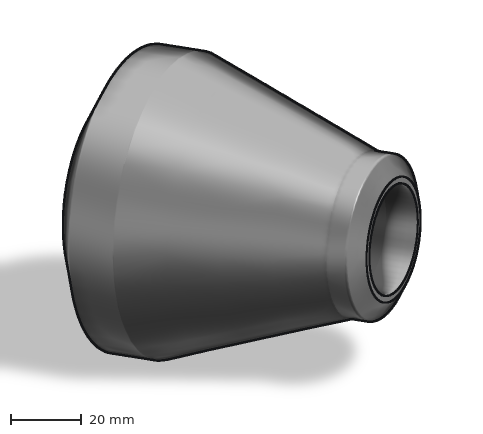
import cadquery as cq
import math

length = 90.0
large_band_start = 8.9
large_band_end = 23.1
neck_start = 80.2
neck_end = 86.5
bore_taper_start = 15.3
bore_taper_end = 80.2

large_diameter = 88.9
neck_diameter = 48.3
large_bore = 53.9
small_bore = 32.3

bevel_angle = math.radians(30)

edge_rounding = 1.0
edge_margin = 0.9

large_radius = large_diameter / 2
neck_radius = neck_diameter / 2
large_land_radius = large_radius - large_band_start / math.tan(bevel_angle)
small_land_radius = neck_radius - (length - neck_end) / math.tan(bevel_angle)


def make_body():
    """Solid reducer turned about the X axis, with rounded outer edges."""
    outline = [
        (0, 0),
        (0, large_land_radius),
        (large_band_start, large_radius),
        (large_band_end, large_radius),
        (neck_start, neck_radius),
        (neck_end, neck_radius),
        (length, small_land_radius),
        (length, 0),
    ]
    body = cq.Workplane("XY").polyline(outline).close().revolve(360, (0, 0), (1, 0))
    inner_edges = cq.selectors.BoxSelector(
        (edge_margin, -length, -length), (length - edge_margin, length, length), boundingbox=True
    )
    return body.edges("%CIRCLE").edges(inner_edges).fillet(edge_rounding)


def make_bore():
    """Through passage: large bore, taper, small bore."""
    outline = [
        (0, 0),
        (0, large_bore / 2),
        (bore_taper_start, large_bore / 2),
        (bore_taper_end, small_bore / 2),
        (length, small_bore / 2),
        (length, 0),
    ]
    return cq.Workplane("XY").polyline(outline).close().revolve(360, (0, 0), (1, 0))


result = make_body().cut(make_bore())